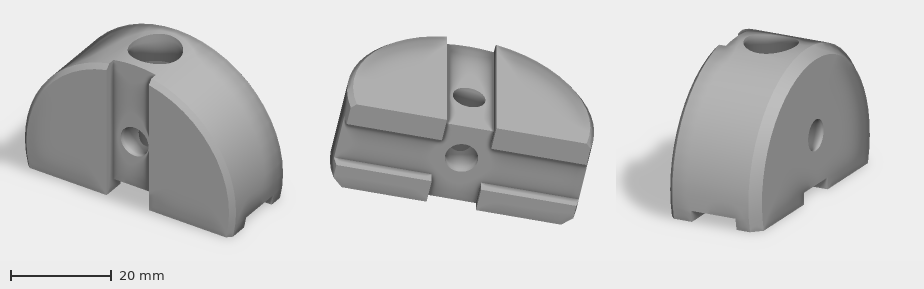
import cadquery as cq

radius = 25.0
thickness = 20.0
flat_drop = 6.0
front_chamfer = 1.0
back_chamfer = 2.0

channel_width = 10.0
channel_depth = 2.5

bore_diameter = 6.6
cross_bore_height = 7.0
counterbore_diameter = 11.0
counterbore_floor = 18.5

front_y = -thickness / 2
height = radius + flat_drop
middle_z = (radius - flat_drop) / 2


def box(size_x, size_y, size_z, center):
    return cq.Workplane("XY").box(size_x, size_y, size_z).translate(center)


def make_body():
    disc = cq.Workplane("XZ").circle(radius).extrude(thickness / 2, both=True)
    disc = disc.faces("<Y").chamfer(front_chamfer)
    disc = disc.faces(">Y").chamfer(back_chamfer)
    return disc.intersect(box(2 * radius, thickness, height, (0, 0, middle_z)))


def cut_channels(body):
    front_center = (0, front_y + channel_depth / 2, middle_z)
    body = body.cut(box(channel_width, channel_depth, height, front_center))
    base_center = (0, 0, -flat_drop + channel_depth / 2)
    body = body.cut(box(2 * radius, channel_width, channel_depth, base_center))
    return body.cut(box(channel_width, thickness, channel_depth, base_center))


def cut_holes(body):
    cross_bore = (
        cq.Workplane("XZ")
        .center(0, cross_bore_height)
        .circle(bore_diameter / 2)
        .extrude(thickness / 2, both=True)
    )
    vertical_bore = (
        cq.Workplane("XY").workplane(offset=-flat_drop).circle(bore_diameter / 2).extrude(height)
    )
    counterbore = (
        cq.Workplane("XY")
        .workplane(offset=counterbore_floor)
        .circle(counterbore_diameter / 2)
        .extrude(radius - counterbore_floor)
    )
    return body.cut(cross_bore).cut(vertical_bore).cut(counterbore)


result = cut_holes(cut_channels(make_body()))